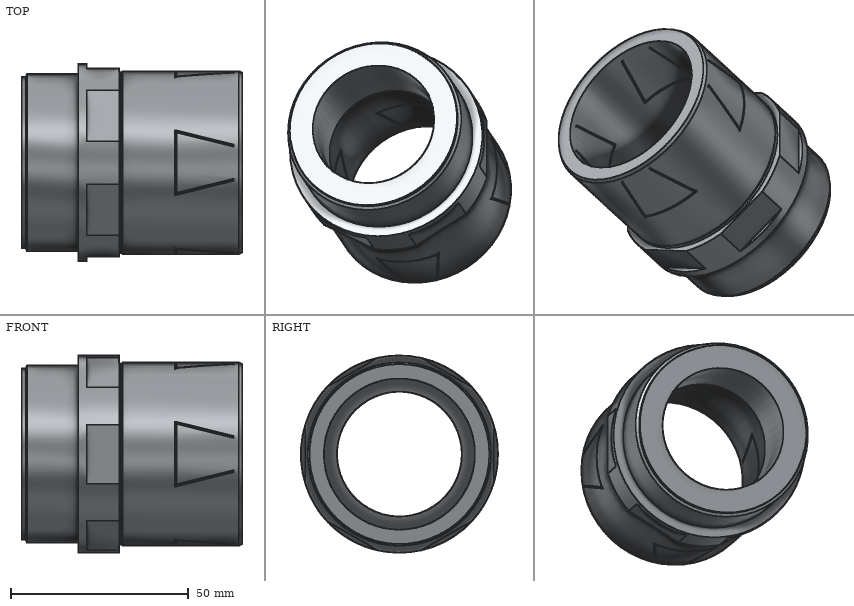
import cadquery as cq
import math

length = 62.0
nose_end = 1.1
thread_start = 1.5
collar_start = 15.9
flats_start = 18.3
collar_end = 27.4
sleeve_start = 28.4
bore_step = 21.2

nose_diameter = 48.2
thread_diameter = 50.0
collar_diameter = 55.5
groove_diameter = 50.5
sleeve_diameter = 51.5
inlet_bore = 35.0
sleeve_bore = 42.5

groove_flank_length = 0.4
end_chamfer_length = 1.0
end_chamfer_depth = 0.5

flat_count = 6
across_flats = 52.95

tongue_count = 4
tongue_start = 43.0
tongue_end = 59.6
tongue_wide_half = 9.1
tongue_narrow_half = 5.0
slit_width = 0.45


def make_body():
    """Revolve the stepped tube about the X axis."""
    profile = [
        (0, inlet_bore / 2),
        (0, nose_diameter / 2),
        (nose_end, nose_diameter / 2),
        (thread_start, thread_diameter / 2),
        (collar_start, thread_diameter / 2),
        (collar_start, collar_diameter / 2),
        (collar_end, collar_diameter / 2),
        (collar_end, sleeve_diameter / 2),
        (collar_end + groove_flank_length, groove_diameter / 2),
        (sleeve_start - groove_flank_length, groove_diameter / 2),
        (sleeve_start, sleeve_diameter / 2),
        (length - end_chamfer_length, sleeve_diameter / 2),
        (length, sleeve_diameter / 2 - end_chamfer_depth),
        (length, sleeve_bore / 2),
        (bore_step, sleeve_bore / 2),
        (bore_step, inlet_bore / 2),
    ]
    return cq.Workplane("XY").polyline(profile).close().revolve(360, (0, 0, 0), (1, 0, 0))


def make_flats_cutter():
    """Ring between a hexagonal prism, flat faces on +Y and -Y, and a larger cylinder."""
    cutter_length = collar_end - flats_start
    hexagon_circumdiameter = across_flats / math.cos(math.pi / flat_count)
    return (
        cq.Workplane("YZ", origin=(flats_start, 0, 0))
        .circle(collar_diameter)
        .extrude(cutter_length)
        .cut(
            cq.Workplane("YZ", origin=(flats_start, 0, 0))
            .transformed(rotate=(0, 0, 180 / flat_count))
            .polygon(flat_count, hexagon_circumdiameter)
            .extrude(cutter_length)
        )
    )


def make_tongue_slit():
    """Three-sided slit around one tongue, reaching outward along +Z from the axis."""
    slope = (tongue_wide_half - tongue_narrow_half) / (tongue_end - tongue_start)
    side_offset = slit_width * math.sqrt(1 + slope**2)
    inner_start = tongue_start + slit_width
    inner_wide_half = tongue_wide_half - slope * slit_width - side_offset
    inner_narrow_half = tongue_narrow_half - side_offset
    outline = [
        (tongue_end, tongue_narrow_half),
        (tongue_start, tongue_wide_half),
        (tongue_start, -tongue_wide_half),
        (tongue_end, -tongue_narrow_half),
        (tongue_end, -inner_narrow_half),
        (inner_start, -inner_wide_half),
        (inner_start, inner_wide_half),
        (tongue_end, inner_narrow_half),
    ]
    return cq.Workplane("XY").polyline(outline).close().extrude(sleeve_diameter)


result = make_body().cut(make_flats_cutter())
tongue_slit = make_tongue_slit()
for index in range(tongue_count):
    angle = index * 360 / tongue_count
    result = result.cut(tongue_slit.rotate((0, 0, 0), (1, 0, 0), angle))